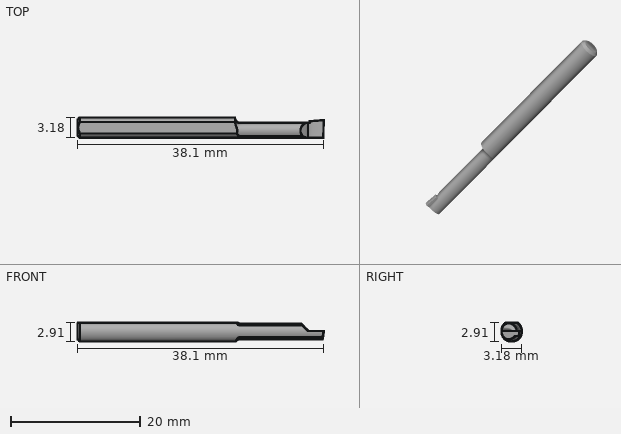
import cadquery as cq
import math

overall_length = 38.1
overall_height = 2.91

shank_diameter = 3.175
shank_radius = shank_diameter / 2
end_chamfer = 0.4
flat_height = overall_height - shank_radius

neck_radius = 1.235
neck_offset = -0.465
neck_start = 25.05
blend_radius = 0.67
shoulder_x = neck_start - blend_radius

rake_height = 0.06
rake_start = 35.65
ramp_angle = 45.0

head_start = 35.9
tip_y = 1.19
side_angle = 5.0
head_bottom = -0.75
lead_angle = 2.0
relief_angle = 7.0

clearance = 2 * shank_diameter


def tan_deg(angle):
    return math.tan(math.radians(angle))


def make_shank():
    """Round bar of full length, chamfered at its back end."""
    bar = cq.Workplane("YZ").circle(shank_radius).extrude(overall_length)
    return bar.faces("<X").chamfer(end_chamfer)


def make_neck_envelope():
    """Turned body about the offset neck axis that leaves the shank whole."""
    outer_radius = shank_diameter
    blend_middle = blend_radius * math.sqrt(0.5)
    blend_center_r = neck_radius + blend_radius
    return (
        cq.Workplane("XZ", origin=(0, neck_offset, 0))
        .moveTo(0, 0)
        .lineTo(0, outer_radius)
        .lineTo(shoulder_x, outer_radius)
        .lineTo(shoulder_x, blend_center_r)
        .threePointArc(
            (neck_start - blend_middle, blend_center_r - blend_middle),
            (neck_start, neck_radius),
        )
        .lineTo(overall_length, neck_radius)
        .lineTo(overall_length, 0)
        .close()
        .revolve(360, (0, 0, 0), (1, 0, 0))
    )


def make_head():
    """Lobe from the neck axis out to the tip, relieved below the rake face."""
    back_y = tip_y - (overall_length - head_start) * tan_deg(side_angle)
    depth = rake_height - head_bottom
    relief = depth * tan_deg(relief_angle)

    def section(x, outer_y):
        return [
            cq.Vector(x, neck_offset, rake_height),
            cq.Vector(x, outer_y, rake_height),
            cq.Vector(x, outer_y - relief, head_bottom),
            cq.Vector(x, neck_offset, head_bottom),
        ]

    back = cq.Wire.makePolygon(section(head_start, back_y), close=True)
    front = cq.Wire.makePolygon(section(overall_length, tip_y), close=True)
    return cq.Workplane(obj=cq.Solid.makeLoft([back, front], True))


def make_flat_cutter():
    """Block above the clamping flat."""
    return (
        cq.Workplane("XY", origin=(0, 0, flat_height))
        .rect(2 * overall_length, clearance)
        .extrude(clearance)
    )


def make_notch_cutter():
    """Block above the rake face with a ramp at its back."""
    ramp_run = clearance / tan_deg(ramp_angle)
    return (
        cq.Workplane("XZ")
        .moveTo(rake_start, rake_height)
        .lineTo(overall_length + clearance, rake_height)
        .lineTo(overall_length + clearance, rake_height + clearance)
        .lineTo(rake_start - ramp_run, rake_height + clearance)
        .close()
        .extrude(clearance, both=True)
    )


def make_end_cutter():
    """Block whose back face passes through the tip at the lead and relief angles."""
    reach = 2 * clearance
    block = cq.Workplane("XY").box(reach, reach, reach, centered=(False, True, True))
    return (
        block.rotate((0, 0, 0), (0, 1, 0), relief_angle)
        .rotate((0, 0, 0), (0, 0, 1), -lead_angle)
        .translate((overall_length, tip_y, rake_height))
    )


body = make_shank().intersect(make_neck_envelope())
body = body.union(make_head())
body = body.cut(make_flat_cutter())
body = body.cut(make_notch_cutter())
result = body.cut(make_end_cutter())